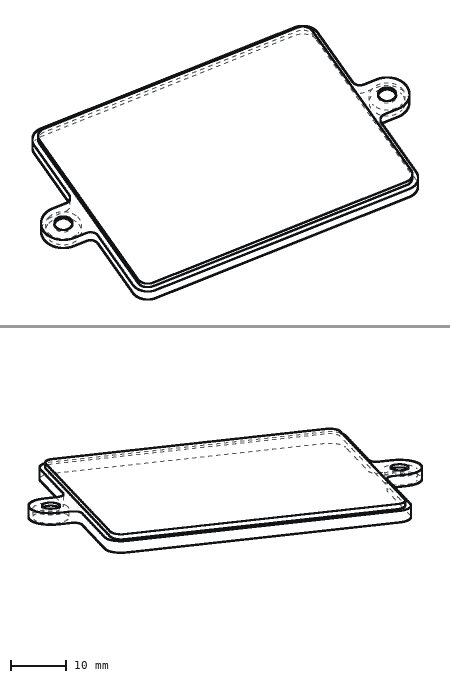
import cadquery as cq

plate_width = 43.6
plate_length = 57.3
plate_thickness = 2.2
plate_corner_radius = 3.0

total_height = 3.15
panel_inset = 1.0
panel_height = total_height - plate_thickness
panel_corner_radius = plate_corner_radius - panel_inset

overall_length = 73.5
tab_width = 8.0
tab_radius = tab_width / 2
tab_hole_diameter = 3.2
tab_hole_offset = overall_length / 2 - tab_radius
tab_root_radius = 1.5

head_diameter = 6.5
head_depth = 1.6


def rounded_slab(width, length, height, corner_radius):
    """Rectangular slab standing on Z = 0 with rounded vertical edges."""
    slab = cq.Workplane("XY").box(width, length, height, centered=(True, True, False))
    return slab.edges("|Z").fillet(corner_radius)


def tab_strip():
    """Round-ended strip through the plate that forms both tabs."""
    strip = cq.Workplane("XY").slot2D(overall_length, tab_width, 90)
    return strip.extrude(plate_thickness)


def tab_root_corners():
    """Selector for the inside corners where the tabs leave the plate."""
    margin = 0.1
    outer_x = tab_width / 2 + margin
    outer_y = plate_length / 2 + margin
    inner_y = plate_length / 2 - margin
    bottom_z = -margin
    top_z = plate_thickness + margin
    far_end = cq.selectors.BoxSelector((-outer_x, inner_y, bottom_z), (outer_x, outer_y, top_z))
    near_end = cq.selectors.BoxSelector((-outer_x, -outer_y, bottom_z), (outer_x, -inner_y, top_z))
    return far_end + near_end


def screw_holes():
    """Through hole with a counterbore from below in each tab."""
    centers = cq.Workplane("XY").pushPoints([(0, -tab_hole_offset), (0, tab_hole_offset)])
    through_holes = centers.circle(tab_hole_diameter / 2).extrude(plate_thickness)
    head_recesses = centers.circle(head_diameter / 2).extrude(head_depth)
    return through_holes.union(head_recesses)


plate = rounded_slab(plate_width, plate_length, plate_thickness, plate_corner_radius)
base = plate.union(tab_strip())
base = base.edges("|Z").edges(tab_root_corners()).fillet(tab_root_radius)

panel = rounded_slab(
    plate_width - 2 * panel_inset,
    plate_length - 2 * panel_inset,
    panel_height,
    panel_corner_radius,
).translate((0, 0, plate_thickness))

result = base.union(panel).cut(screw_holes())